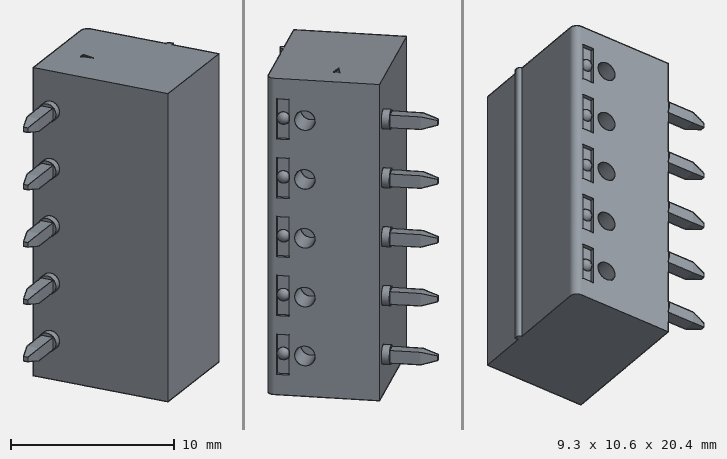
import cadquery as cq


height = 20.45
housing_width = 9.2
housing_depth = 7.01
edge_radius = 0.5

rib_start = 5.55
rib_width = 0.4
rib_height = 0.22

contact_count = 5
pitch = 3.8
contact_heights = [(i - (contact_count - 1) / 2) * pitch for i in range(contact_count)]

pin_x = 1.19
collar_diameter = 1.23
collar_length = 0.5
pin_size = 0.82
pin_tip_size = 0.3
pin_length = 3.41
taper_length = 1.0

hole_y = 4.65
hole_diameter = 1.27
hole_depth = 2.05

window_y = 6.0
window_width = 0.78
window_height = 2.6
window_depth = 0.25
ball_radius = 0.4
ball_protrusion = 0.1

arrow_base_x = 1.82
arrow_length = 0.8
arrow_width = 0.4
arrow_y = 3.0
arrow_depth = 0.08


def make_housing():
    block = cq.Workplane("XY").box(
        housing_width, housing_depth, height, centered=(False, False, True)
    )
    return block.edges("|Z and <X and >Y").fillet(edge_radius)


def make_rib():
    """Rib with a quarter-round lead-in on its -X side and a square +X side."""
    rib_end = rib_start + rib_width
    crest_y = housing_depth + rib_height
    return (
        cq.Workplane("XY")
        .workplane(offset=-height / 2)
        .moveTo(rib_start, housing_depth)
        .radiusArc((rib_start + rib_height, crest_y), rib_height)
        .lineTo(rib_end, crest_y)
        .lineTo(rib_end, housing_depth)
        .close()
        .extrude(height)
    )


def make_pin(z):
    """Round collar, square shank and pyramid-shaped tip, pointing to -Y."""
    shank_length = pin_length - taper_length
    base = cq.Workplane("XZ", origin=(pin_x, 0, z))
    collar = base.circle(collar_diameter / 2).extrude(collar_length)
    shank = base.rect(pin_size, pin_size).extrude(shank_length)
    tip = (
        base.workplane(offset=shank_length)
        .rect(pin_size, pin_size)
        .workplane(offset=taper_length)
        .rect(pin_tip_size, pin_tip_size)
        .loft(ruled=True)
    )
    return collar.union(shank).union(tip)


def make_wire_hole(z):
    return cq.Workplane("YZ", origin=(0, hole_y, z)).circle(hole_diameter / 2).extrude(hole_depth)


def make_window(z):
    return (
        cq.Workplane("YZ", origin=(0, window_y, z))
        .rect(window_width, window_height)
        .extrude(window_depth)
    )


def make_ball(z):
    center = (ball_radius - ball_protrusion, window_y, z)
    return cq.Workplane("XY").sphere(ball_radius).translate(center)


def make_arrow():
    return (
        cq.Workplane("XY", origin=(arrow_base_x, arrow_y, height / 2))
        .polyline([(0, -arrow_width / 2), (arrow_length, 0), (0, arrow_width / 2)])
        .close()
        .extrude(-arrow_depth)
    )


result = make_housing().union(make_rib()).cut(make_arrow())
for z in contact_heights:
    result = result.cut(make_wire_hole(z)).cut(make_window(z))
    result = result.union(make_ball(z)).union(make_pin(z))